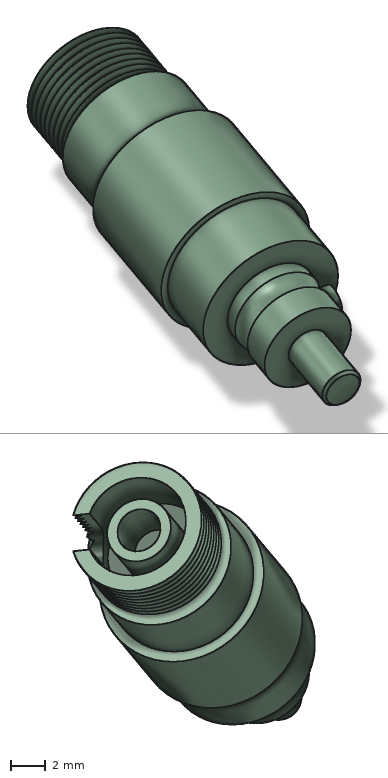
import cadquery as cq

total_length = 29.72

thread_pitch = 0.5
thread_ridges = 8
thread_crest_radius = 3.98
thread_root_radius = 3.6
thread_length = thread_pitch * thread_ridges
neck_radius = 3.2
socket_radius = 3.03
socket_depth = 4.45

tube_radius = 1.93
tube_bore_radius = 1.3
tube_face_x = 0.62
tube_bore_depth = 3.57

keyway_width = 2.23
keyway_length = 3.48

shoulder_start = 4.75
shoulder_radius = 4.37

sleeve_start = 9.33
sleeve_step = 17.25
sleeve_end = 21.35
sleeve_front_radius = 5.0
sleeve_rear_radius = 4.55

barrel_radius = 2.9
barrel_end = 25.65
groove_center = 22.95
groove_width = 1.43
groove_depth = 0.15

slot_end = 24.8
slot_width = 2.32
slot_floor = 2.38
pin_center = 23.03
pin_radius = 1.0
pin_top = 3.27

ferrule_diameter = 2.6
ferrule_radius = ferrule_diameter / 2
ferrule_chamfer = 0.18


def cylinder(start, end, radius):
    """Solid cylinder along X."""
    return cq.Workplane("YZ", origin=(start, 0, 0)).circle(radius).extrude(end - start)


def y_cylinder(x, bottom, top, radius):
    """Solid cylinder along Y, centered on z = 0."""
    return cq.Workplane("XZ", origin=(x, bottom, 0)).circle(radius).extrude(bottom - top)


def slot_block(start, end, bottom, top, width):
    """Block spanning x and y ranges, centered on z = 0."""
    block = cq.Workplane("XY").box(end - start, top - bottom, width, centered=(False, False, True))
    return block.translate((start, bottom, 0))


def threaded_collar():
    """Ring-shaped thread ridges with sharp crests and roots."""
    outline = cq.Workplane("XY").lineTo(0, thread_crest_radius)
    for ridge in range(thread_ridges):
        outline = outline.lineTo((ridge + 0.5) * thread_pitch, thread_root_radius)
        outline = outline.lineTo((ridge + 1) * thread_pitch, thread_crest_radius)
    outline = outline.lineTo(thread_length, 0).close()
    return outline.revolve(360, (0, 0, 0), (1, 0, 0))


def plug_barrel():
    """Shaft from the shoulder to the barrel end, with a round-bottomed groove."""
    groove_floor = barrel_radius - groove_depth
    outline = (
        cq.Workplane("XY")
        .moveTo(sleeve_start, 0)
        .lineTo(sleeve_start, barrel_radius)
        .lineTo(groove_center - groove_width / 2, barrel_radius)
        .threePointArc((groove_center, groove_floor), (groove_center + groove_width / 2, barrel_radius))
        .lineTo(barrel_end, barrel_radius)
        .lineTo(barrel_end, 0)
        .close()
    )
    barrel = outline.revolve(360, (0, 0, 0), (1, 0, 0))
    slot = slot_block(sleeve_end, slot_end, slot_floor, barrel_radius, slot_width)
    pin = y_cylinder(pin_center, 0, pin_top, pin_radius)
    return barrel.cut(slot).union(pin)


def socket_cavity():
    """Ring-shaped cavity around the tube, plus the blind bore of the tube."""
    cavity = cylinder(0, socket_depth, socket_radius)
    tube = cylinder(tube_face_x, socket_depth, tube_radius)
    tube_bore = cylinder(tube_face_x, tube_face_x + tube_bore_depth, tube_bore_radius)
    return cavity.cut(tube).union(tube_bore)


def socket_keyway():
    """Slot from the open end, rounded at its inner end."""
    round_center = keyway_length - keyway_width / 2
    block = slot_block(0, round_center, 0, thread_crest_radius, keyway_width)
    round_end = y_cylinder(round_center, 0, thread_crest_radius, keyway_width / 2)
    return block.union(round_end).cut(cylinder(0, socket_depth, tube_radius))


def make_core():
    """Socket, shoulder, barrel and ferrule in one piece."""
    core = threaded_collar()
    core = core.union(cylinder(thread_length, shoulder_start, neck_radius))
    core = core.union(cylinder(shoulder_start, sleeve_start, shoulder_radius))
    core = core.union(plug_barrel())
    ferrule = cylinder(barrel_end, total_length, ferrule_radius).faces(">X").chamfer(ferrule_chamfer)
    core = core.union(ferrule)
    return core.cut(socket_cavity()).cut(socket_keyway())


def make_sleeve():
    """Stepped sleeve that butts against the shoulder."""
    sleeve = cylinder(sleeve_start, sleeve_step, sleeve_front_radius)
    sleeve = sleeve.union(cylinder(sleeve_step, sleeve_end, sleeve_rear_radius))
    return sleeve.cut(cylinder(sleeve_start, sleeve_end, barrel_radius))


core = make_core()
sleeve = make_sleeve()

result = cq.Compound.makeCompound([core.val(), sleeve.val()])